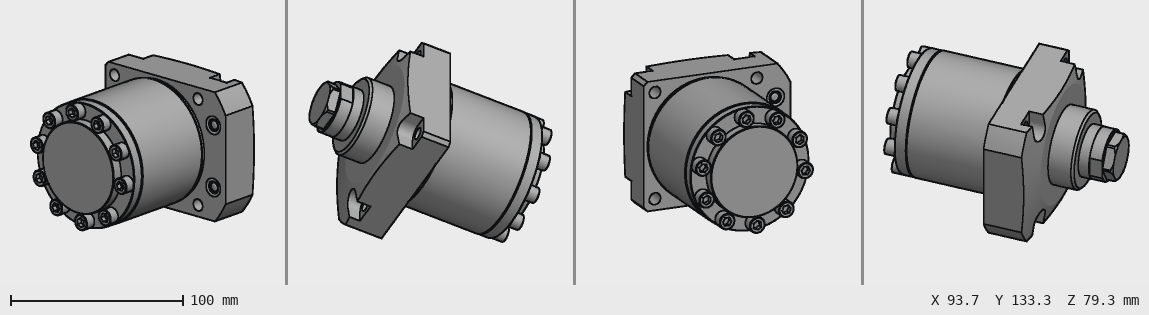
import cadquery as cq
import math


flange_height = 79.3
flange_width = 93.7
flange_half = flange_height / 2
flange_right_x = flange_width - flange_half
flange_thickness = 28.7
flange_arc_radius = 60.5
left_corner_chamfer = 2.4
cone_start_radius = 36.5
cone_slope = 0.21
disc_margin = 1.3

mount_hole_offset = 32.5
mount_hole_diameter = 7.2
pocket_radius = 6.5
pocket_depth = 10.9

pilot_radius = 24.0
pilot_length = 15.7
pilot_chamfer = 1.5
collar_radius = 15.9
collar_length = 6.5
shaft_radius = 15.7
flatted_length = 8.0
shaft_flat_distance = 14.4
shaft_edge_chamfer = 0.3
nut_length = 6.1
nut_across_flats = 25.3
nut_corner_radius = 14.3
nut_chamfer = 1.3

neck_radius = 37.5
neck_length = 2.3
housing_radius = 38.0
housing_length = 51.7
joint_radius = 37.5
joint_width = 0.7
cover_radius = 37.9
cover_length = 6.9
boss_radius = 27.7
boss_length = 6.7
edge_chamfer = 0.4

bolt_count = 10
bolt_first_angle = -6.5
bolt_angle_step = 35.0
bolt_circle_radius = 33.0
bolt_head_radius = 4.8
bolt_edge_chamfer = 0.4
socket_corner_radius = 2.8
socket_depth = 3.3

port_x = 44.4
port_z = 19.0
plug_radius = 5.6
plug_lip_height = 0.4
plug_ledge_outer_radius = 3.7
plug_ledge_inner_radius = 3.2
plug_ledge_depth = 0.4
plug_floor_depth = 1.0
plug_dome_radius = 2.7
plug_tip_radius = 1.2
plug_base_depth = 2.0

pilot_end = flange_thickness + pilot_length
collar_end = pilot_end + collar_length
shaft_end = collar_end + flatted_length
nut_end = shaft_end + nut_length
neck_end = -neck_length
housing_end = neck_end - housing_length
joint_end = housing_end - joint_width
cover_end = joint_end - cover_length
boss_end = cover_end - boss_length


def cylinder(radius, y_start, y_end, x=0, z=0):
    """Cylinder parallel to Y between two stations, in either order."""
    circle = cq.Workplane("XZ", origin=(x, y_start, z)).circle(radius)
    return circle.extrude(y_start - y_end)


def revolve_about_y(profile):
    """Solid of revolution about the Y axis from a closed (radius, y) profile."""
    return profile.close().revolve(360, (0, 0, 0), (0, 1, 0))


def make_flange():
    """Plate with concentric right-hand corners and a coned back face."""
    arc_start_x = math.sqrt(flange_arc_radius**2 - flange_half**2)
    arc_end_z = math.sqrt(flange_arc_radius**2 - flange_right_x**2)
    start_angle = math.atan2(flange_half, arc_start_x)
    end_angle = math.atan2(arc_end_z, flange_right_x)
    mid_angle = (start_angle + end_angle) / 2
    arc_mid_x = flange_arc_radius * math.cos(mid_angle)
    arc_mid_z = flange_arc_radius * math.sin(mid_angle)
    chamfer_end = flange_half - left_corner_chamfer
    plate = (
        cq.Workplane("XZ")
        .moveTo(-chamfer_end, -flange_half)
        .lineTo(arc_start_x, -flange_half)
        .threePointArc((arc_mid_x, -arc_mid_z), (flange_right_x, -arc_end_z))
        .lineTo(flange_right_x, arc_end_z)
        .threePointArc((arc_mid_x, arc_mid_z), (arc_start_x, flange_half))
        .lineTo(-chamfer_end, flange_half)
        .lineTo(-flange_half, chamfer_end)
        .lineTo(-flange_half, -chamfer_end)
        .close()
        .extrude(-flange_thickness)
    )
    disc_radius = flange_arc_radius + disc_margin
    cone_drop = cone_slope * (disc_radius - cone_start_radius)
    coned_disc = revolve_about_y(
        cq.Workplane("XY")
        .lineTo(disc_radius, 0)
        .lineTo(disc_radius, flange_thickness - cone_drop)
        .lineTo(cone_start_radius, flange_thickness)
        .lineTo(0, flange_thickness)
    )
    return plate.intersect(coned_disc)


def pocket_box(x, z):
    """Square block as wide as a pocket, from the pocket floor to the back face."""
    width = 2 * pocket_radius
    square = cq.Workplane("XZ", origin=(x, flange_thickness - pocket_depth, z)).rect(width, width)
    return square.extrude(-pocket_depth)


def cut_mounting(body):
    """Through holes with back pockets: corner notches on the left, slots on the right."""
    pocket_floor = flange_thickness - pocket_depth
    for side_z in (-1, 1):
        hole_z = side_z * mount_hole_offset
        for hole_x in (-mount_hole_offset, mount_hole_offset):
            body = body.cut(cylinder(mount_hole_diameter / 2, 0, flange_thickness, hole_x, hole_z))
            body = body.cut(cylinder(pocket_radius, pocket_floor, flange_thickness, hole_x, hole_z))
            body = body.cut(pocket_box(hole_x, hole_z + side_z * pocket_radius))
        body = body.cut(pocket_box(-mount_hole_offset - pocket_radius, hole_z))
    return body


def make_shaft_side():
    """Pilot, collar, flatted shaft end and hexagonal nut."""
    pilot = cylinder(pilot_radius, flange_thickness, pilot_end).faces(">Y").chamfer(pilot_chamfer)
    collar = cylinder(collar_radius, pilot_end, collar_end)
    flats = (
        cq.Workplane("XZ", origin=(0, collar_end, 0))
        .rect(2 * shaft_flat_distance, 2 * shaft_radius)
        .extrude(-flatted_length)
    )
    shaft = cylinder(shaft_radius, collar_end, shaft_end).faces(">Y").chamfer(shaft_edge_chamfer)
    nut_blank = cylinder(nut_corner_radius, shaft_end, nut_end).faces(">Y").chamfer(nut_chamfer)
    across_corners = nut_across_flats / math.cos(math.radians(30))
    hexagon = cq.Workplane("XZ", origin=(0, shaft_end, 0)).polygon(6, across_corners).extrude(-nut_length)
    return pilot.union(collar).union(shaft.intersect(flats)).union(nut_blank.intersect(hexagon))


def make_housing():
    """Neck, housing barrel, joint line, cover and central boss."""
    neck = cylinder(neck_radius, 0, neck_end)
    barrel = cylinder(housing_radius, neck_end, housing_end)
    joint = cylinder(joint_radius, housing_end, joint_end)
    cover = cylinder(cover_radius, joint_end, cover_end).faces("<Y").chamfer(edge_chamfer)
    boss = cylinder(boss_radius, cover_end, boss_end).faces("<Y").chamfer(edge_chamfer)
    return neck.union(barrel).union(joint).union(cover).union(boss)


def make_bolt_head():
    """Socket head at angle zero, with a socket corner pointing outward."""
    head = cylinder(bolt_head_radius, cover_end, boss_end, bolt_circle_radius)
    head = head.faces("<Y").chamfer(bolt_edge_chamfer)
    socket_plane = cq.Workplane("XZ", origin=(bolt_circle_radius, boss_end, 0))
    socket = socket_plane.polygon(6, 2 * socket_corner_radius).extrude(-socket_depth)
    return head.cut(socket)


def add_bolts(body):
    """Bolt heads at equal steps, leaving one wider gap in the circle."""
    head = make_bolt_head()
    for index in range(bolt_count):
        angle = bolt_first_angle + index * bolt_angle_step
        body = body.union(head.rotate((0, 0, 0), (0, 1, 0), -angle))
    return body


def add_port_plugs(body):
    """Round-lipped plugs, each a stepped dish around a domed centre with a flat tip."""
    lip_crest_radius = (plug_radius + plug_ledge_outer_radius) / 2
    dome_mid_radius = plug_tip_radius + (plug_dome_radius - plug_tip_radius) * math.sin(math.radians(45))
    dome_mid_depth = plug_floor_depth * (1 - math.cos(math.radians(45)))
    seat = cylinder(plug_radius, 0, plug_base_depth)
    plug = revolve_about_y(
        cq.Workplane("XY")
        .moveTo(0, plug_base_depth)
        .lineTo(plug_radius, plug_base_depth)
        .lineTo(plug_radius, 0)
        .threePointArc((lip_crest_radius, -plug_lip_height), (plug_ledge_outer_radius, plug_ledge_depth))
        .lineTo(plug_ledge_inner_radius, plug_ledge_depth)
        .lineTo(plug_ledge_inner_radius, plug_floor_depth)
        .lineTo(plug_dome_radius, plug_floor_depth)
        .threePointArc((dome_mid_radius, dome_mid_depth), (plug_tip_radius, 0))
        .lineTo(0, 0)
    )
    for z in (-port_z, port_z):
        place = (port_x, 0, z)
        body = body.cut(seat.translate(place)).union(plug.translate(place))
    return body


flange = add_port_plugs(cut_mounting(make_flange()))
result = add_bolts(flange.union(make_shaft_side()).union(make_housing()))